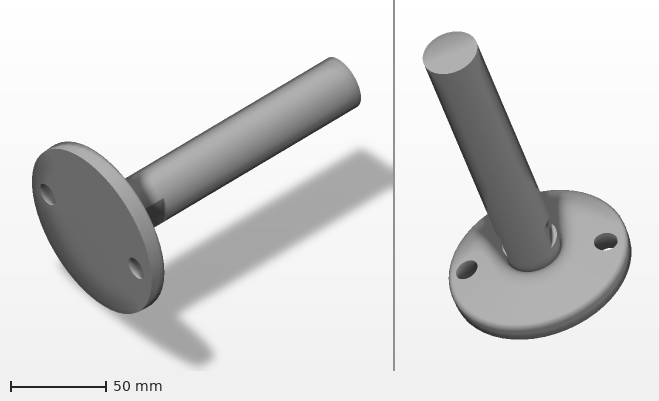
import cadquery as cq
import math

total_length = 172.0
base_diameter = 98.0
stem_diameter = 30.0

rim_taper = 0.3
taper_height = 4.1
rim_height = 7.0
shoulder_radius = 3.0
cone_angle = 10.0
cone_top_radius = 15.5

flat_start = 23.9
flat_length = 15.1
across_flats = 24.0

hole_diameter = 12.5
hole_offset = 36.0
hole_overrun = 8.6

base_radius = base_diameter / 2
stem_radius = stem_diameter / 2
slope = math.radians(cone_angle)


def shoulder_point(angle):
    """Point on the shoulder round, at an angle measured from the radial direction."""
    return (
        base_radius - shoulder_radius + shoulder_radius * math.cos(angle),
        rim_height + shoulder_radius * math.sin(angle),
    )


shoulder_sweep = math.pi / 2 - slope
cone_edge = shoulder_point(shoulder_sweep)
cone_top = cone_edge[1] + (cone_edge[0] - cone_top_radius) * math.tan(slope)


def make_body():
    """Revolve the base and stem about the Y axis."""
    return (
        cq.Workplane("XY")
        .moveTo(0, 0)
        .lineTo(base_radius - rim_taper, 0)
        .lineTo(base_radius, taper_height)
        .lineTo(base_radius, rim_height)
        .threePointArc(shoulder_point(shoulder_sweep / 2), cone_edge)
        .lineTo(cone_top_radius, cone_top)
        .lineTo(stem_radius, cone_top)
        .lineTo(stem_radius, total_length)
        .lineTo(0, total_length)
        .close()
        .revolve(360, (0, 0, 0), (0, 1, 0))
    )


def flat_cutter(side):
    """Block that leaves a wrench flat on one side of the stem."""
    return cq.Workplane("XY").box(stem_diameter, flat_length, stem_diameter).translate(
        (side * (across_flats + stem_diameter) / 2, flat_start + flat_length / 2, 0)
    )


def hole_cutter(side):
    """Cylinder leaning outward, normal to the conical back."""
    direction = cq.Vector(side * math.sin(slope), math.cos(slope), 0)
    start = cq.Vector(side * hole_offset, 0, 0) - direction * hole_overrun
    length = cone_top + 2 * hole_overrun
    return cq.Solid.makeCylinder(hole_diameter / 2, length, start, direction)


result = make_body()
for side in (-1, 1):
    result = result.cut(flat_cutter(side)).cut(hole_cutter(side))